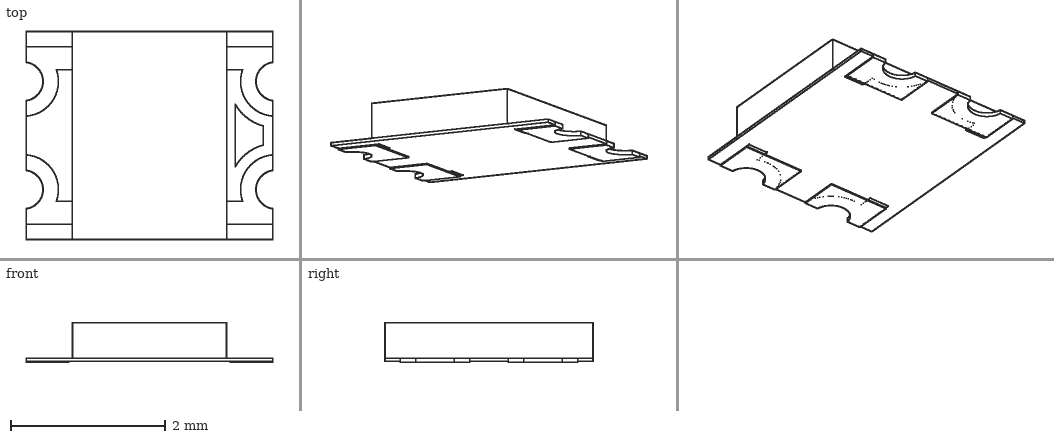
import cadquery as cq
import math

length = 3.2
width = 2.7
height = 0.52

pad_thickness = 0.0145
board_thickness = 0.04
board_top = pad_thickness + board_thickness

housing_length = 2.0

notch_radius = 0.25
notch_overhang = 0.032
notch_y = 0.7
notch_x = length / 2 + notch_overhang

ring_radius = 0.45
pad_length = 0.55
land_length = (length - housing_length) / 2
terminal_outer_y = notch_y + ring_radius
land_inner_y = 0.85

mark_inner_x = 1.11
mark_outer_x = 1.475
mark_arc_radius = 0.6
mark_thickness = 0.013

corner_signs = [(sx, sy) for sx in (-1, 1) for sy in (-1, 1)]


def slab(x_min, x_max, y_min, y_max, z_min, z_max):
    """Axis-aligned block between the given limits."""
    block = cq.Workplane("XY").box(x_max - x_min, y_max - y_min, z_max - z_min, centered=False)
    return block.translate((x_min, y_min, z_min))


def notch_cylinder(radius, z_min, z_max):
    """Upright cylinder on the notch axis of the +X +Y corner."""
    return cq.Workplane("XY", origin=(notch_x, notch_y, z_min)).circle(radius).extrude(z_max - z_min)


def make_master_terminal():
    """Terminal of the +X +Y corner: land through the board, notch ring and bottom pad."""
    edge_x = length / 2
    land_inner_x = edge_x - land_length
    pad_inner_y = notch_y - ring_radius

    land = slab(land_inner_x, edge_x, land_inner_y, terminal_outer_y, pad_thickness, board_top)
    edge_zone = slab(land_inner_x, edge_x, 0, terminal_outer_y, 0, board_top)
    ring = notch_cylinder(ring_radius, pad_thickness, board_top).intersect(edge_zone)
    pad = slab(edge_x - pad_length, edge_x, pad_inner_y, terminal_outer_y, 0, pad_thickness)

    terminal = land.union(ring).union(pad)
    return terminal.cut(notch_cylinder(notch_radius, 0, board_top))


def make_terminal(sx, sy):
    """Copy of the master terminal mirrored into the corner given by its signs."""
    terminal = make_master_terminal()
    if sx < 0:
        terminal = terminal.mirror("YZ")
    if sy < 0:
        terminal = terminal.mirror("XZ")
    return terminal


def mark_half_height(x):
    """Half height of the polarity mark at a given X, on the arc around the notch axis."""
    return notch_y - math.sqrt(mark_arc_radius**2 - (notch_x - x) ** 2)


def make_polarity_mark():
    """Tapered mark with two concave sides, flush with the top of the board."""
    inner_y = mark_half_height(mark_inner_x)
    outer_y = mark_half_height(mark_outer_x)
    middle_x = (mark_inner_x + mark_outer_x) / 2
    middle_y = mark_half_height(middle_x)
    return (
        cq.Workplane("XY", origin=(0, 0, board_top - mark_thickness))
        .moveTo(mark_inner_x, -inner_y)
        .threePointArc((middle_x, -middle_y), (mark_outer_x, -outer_y))
        .lineTo(mark_outer_x, outer_y)
        .threePointArc((middle_x, middle_y), (mark_inner_x, inner_y))
        .close()
        .extrude(mark_thickness)
    )


def make_board(terminals, mark):
    """Thin board with four edge notches and recesses that fit the copper."""
    board = slab(-length / 2, length / 2, -width / 2, width / 2, pad_thickness, board_top)
    notch_centres = [(sx * notch_x, sy * notch_y) for sx, sy in corner_signs]
    notches = cq.Workplane("XY").pushPoints(notch_centres).circle(notch_radius).extrude(board_top)
    board = board.cut(notches).cut(mark)
    for terminal in terminals:
        board = board.cut(terminal)
    return board


def make_housing():
    """Plain block on the middle of the board, across its full width."""
    return slab(-housing_length / 2, housing_length / 2, -width / 2, width / 2, board_top, height)


terminals = [make_terminal(sx, sy) for sx, sy in corner_signs]
polarity_mark = make_polarity_mark()
board = make_board(terminals, polarity_mark)
housing = make_housing()

result = cq.Compound.makeCompound(
    [
        housing.val(),
        board.solids().val(),
        polarity_mark.val(),
        *[terminal.solids().val() for terminal in terminals],
    ]
)